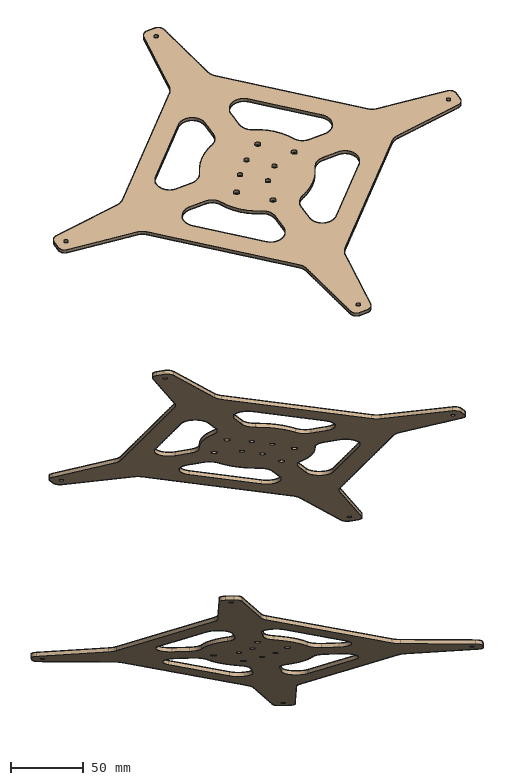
import cadquery as cq
import math

thickness = 3.0
overall_half = 114.0
body_half = 80.0
arm_root = 58.1
root_fillet = 10.0

tip_radius = 5.0
tip_center_near = 105.0
tip_center_far = overall_half - tip_radius
arm_hole_offset = 105.1
arm_hole_diameter = 3.0

disc_radius = 40.0
window_outer = 65.0
window_fillet = 10.0
spoke_width = 20.0

inner_hole_x = 10.0
inner_hole_y = 7.5
inner_hole_diameter = 3.6
outer_hole_left = -7.3
outer_hole_right = 19.0
outer_hole_y = 24.6
outer_hole_diameter = 4.0


def arm_tip_corner():
    """Sharp corner where the arm edge meets the 45 degree tip flat."""
    dx = tip_center_near - arm_root
    dy = tip_center_far - body_half
    edge_angle = math.atan2(dy, dx) + math.asin(tip_radius / math.hypot(dx, dy))
    slope = math.tan(edge_angle)
    flat_sum = tip_center_near + tip_center_far + tip_radius * math.sqrt(2)
    x = (flat_sum - body_half + slope * arm_root) / (1 + slope)
    return x, flat_sum - x


def make_plate():
    near, far = arm_tip_corner()
    quarter = [(arm_root, body_half), (near, far), (far, near), (body_half, arm_root)]
    points = []
    for _ in range(4):
        points += quarter
        quarter = [(y, -x) for x, y in quarter]
    plate = cq.Workplane("XY").polyline(points).close().extrude(thickness)
    reach = (body_half + tip_center_near) / 2
    inside = cq.selectors.BoxSelector((-reach, -reach, -thickness), (reach, reach, 2 * thickness))
    plate = plate.edges("|Z").edges(cq.selectors.InverseSelector(inside)).fillet(tip_radius)
    return plate.edges("|Z").edges(inside).fillet(root_fillet)


def make_window():
    """Window on the +Y side of the disc."""
    spoke_offset = spoke_width / math.sqrt(2)
    half_width = window_outer - spoke_offset
    window = (
        cq.Workplane("XY")
        .polyline([(0, spoke_offset), (half_width, window_outer), (-half_width, window_outer)])
        .close()
        .extrude(thickness)
    )
    disc = cq.Workplane("XY").circle(disc_radius).extrude(thickness)
    return window.cut(disc).edges("|Z").fillet(window_fillet)


def cut_holes(plate, points, diameter):
    holes = cq.Workplane("XY").pushPoints(points).circle(diameter / 2).extrude(thickness)
    return plate.cut(holes)


def mirrored_pairs(x_values, y):
    return [(x, side * y) for x in x_values for side in (-1, 1)]


result = make_plate()

window = make_window()
for quarter_turn in range(4):
    result = result.cut(window.rotate((0, 0, 0), (0, 0, 1), 90 * quarter_turn))

arm_holes = mirrored_pairs((-arm_hole_offset, arm_hole_offset), arm_hole_offset)
result = cut_holes(result, arm_holes, arm_hole_diameter)

inner_holes = mirrored_pairs((-inner_hole_x, inner_hole_x), inner_hole_y)
result = cut_holes(result, inner_holes, inner_hole_diameter)

outer_holes = mirrored_pairs((outer_hole_left, outer_hole_right), outer_hole_y)
result = cut_holes(result, outer_holes, outer_hole_diameter)